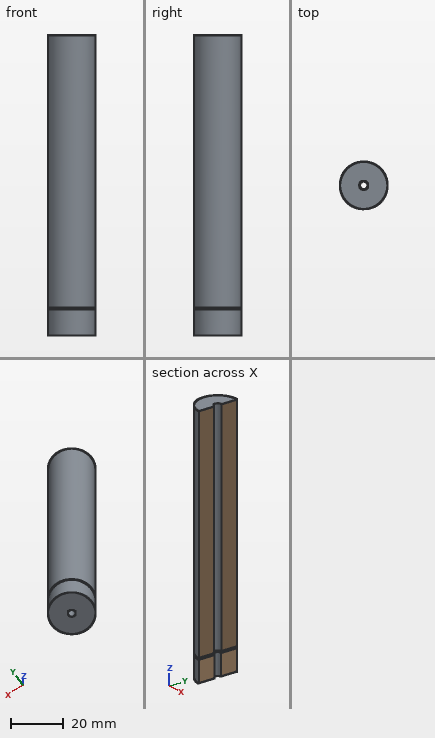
import cadquery as cq

total_length = 113.5
outer_diameter = 18.0

base_length = 10.0
joint_gap = 0.5
tube_length = total_length - base_length - joint_gap

tube_bore = 3.4
base_bore = 3.0


def bored_cylinder(bottom, length, bore):
    """Upright cylinder with a through bore along its axis."""
    return (
        cq.Workplane("XY")
        .workplane(offset=bottom)
        .circle(outer_diameter / 2)
        .circle(bore / 2)
        .extrude(length)
    )


base = bored_cylinder(0, base_length, base_bore)

tube = bored_cylinder(base_length + joint_gap, tube_length, tube_bore)

result = cq.Compound.makeCompound([base.val(), tube.val()])